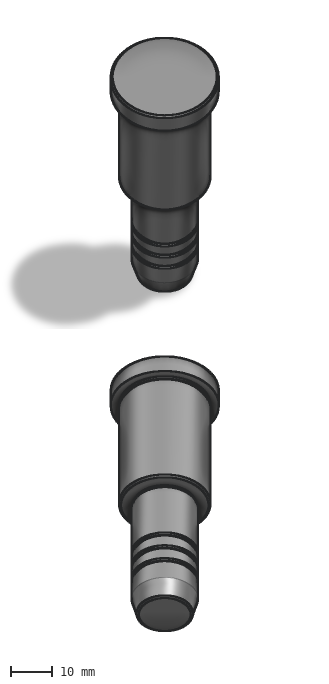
import cadquery as cq
import math

total_length = 70.0
head_diameter = 26.0
head_height = 5.0
edge_chamfer = 0.5

body_diameter = 22.0
body_length = 31.0

shank_diameter = 15.95
neck_diameter = 15.1
neck_length = 1.0

groove_width = 1.0
groove_depth = 0.4
shank_groove_count = 3
groove_pitch = 4.0
first_groove_drop = 15.05

taper_length = 5.0
taper_angle = 15.0
tip_chamfer = 0.4

head_bottom = total_length - head_height
body_bottom = head_bottom - body_length
neck_bottom = body_bottom - neck_length
shank_radius = shank_diameter / 2
tip_radius = shank_radius - taper_length * math.tan(math.radians(taper_angle))


def cylinder(diameter, bottom, top):
    """Round section on the Z axis between two levels."""
    return cq.Workplane("XY").workplane(offset=bottom).circle(diameter / 2).extrude(top - bottom)


def ring_groove(diameter, top):
    """Ring cutter for a groove whose upper edge lies at the given level."""
    radius = diameter / 2
    floor_radius = radius - groove_depth
    bottom = top - groove_width
    profile = cq.Workplane("XZ").polyline([
        (radius, top),
        (floor_radius, top - groove_depth),
        (floor_radius, bottom + groove_depth),
        (radius, bottom),
    ]).close()
    return profile.revolve(360, (0, 0, 0), (0, 1, 0))


def tapered_tip():
    """Conical lead-in ending in a small chamfer."""
    cone = (
        cq.Workplane("XZ")
        .polyline([(0, 0), (tip_radius, 0), (shank_radius, taper_length), (0, taper_length)])
        .close()
        .revolve(360, (0, 0, 0), (0, 1, 0))
    )
    return cone.faces("<Z").edges().chamfer(tip_chamfer)


head = cylinder(head_diameter, head_bottom, total_length).faces(">Z").edges().chamfer(edge_chamfer)
body = cylinder(body_diameter, body_bottom, head_bottom).faces("<Z").edges().chamfer(edge_chamfer)
body = body.cut(ring_groove(body_diameter, head_bottom))

neck = cylinder(neck_diameter, neck_bottom, body_bottom)
shank = cylinder(shank_diameter, taper_length, neck_bottom)
for index in range(shank_groove_count):
    groove_top = body_bottom - first_groove_drop - index * groove_pitch
    shank = shank.cut(ring_groove(shank_diameter, groove_top))

result = head.union(body).union(neck).union(shank).union(tapered_tip())